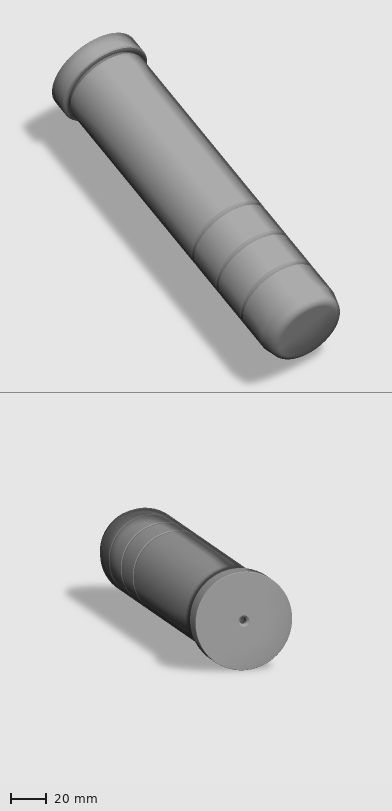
import cadquery as cq
import math

length = 220.0
head_diameter = 56.0
head_length = 12.0
head_chamfer = 0.7
head_face_chamfer = 0.2
shaft_diameter = 50.0

neck_depth = 0.7
neck_end = 13.5
shaft_start = neck_end + neck_depth

groove_count = 3
first_groove_x = 140.0
groove_pitch = 25.0
groove_width = 2.9
groove_depth = 0.7

taper_start = 209.7
taper_angle = math.radians(15)
nose_radius = 4.2

drill_point_angle = math.radians(118)
centre_mouth_diameter = 6.4
centre_diameter = 3.7
centre_countersink_depth = 1.3
centre_depth = 6.5

head_radius = head_diameter / 2
shaft_radius = shaft_diameter / 2
neck_radius = shaft_radius - neck_depth


def make_body():
    """Revolve the half outline of head, neck, shaft and rounded taper."""
    nose_centre_x = length - nose_radius
    taper_end_x = nose_centre_x + nose_radius * math.sin(taper_angle)
    taper_end_radius = shaft_radius - (taper_end_x - taper_start) * math.tan(taper_angle)
    nose_centre_radius = taper_end_radius - nose_radius * math.cos(taper_angle)
    middle_angle = (math.pi / 2 - taper_angle) / 2
    nose_middle = (
        nose_centre_x + nose_radius * math.cos(middle_angle),
        nose_centre_radius + nose_radius * math.sin(middle_angle),
    )
    outline = (
        cq.Workplane("XY")
        .lineTo(0, head_radius - head_face_chamfer)
        .lineTo(head_face_chamfer, head_radius)
        .lineTo(head_length - head_chamfer, head_radius)
        .lineTo(head_length, head_radius - head_chamfer)
        .lineTo(head_length, neck_radius)
        .lineTo(neck_end, neck_radius)
        .lineTo(shaft_start, shaft_radius)
        .lineTo(taper_start, shaft_radius)
        .lineTo(taper_end_x, taper_end_radius)
        .threePointArc(nose_middle, (length, nose_centre_radius))
        .lineTo(length, 0)
        .close()
    )
    return outline.revolve(360, (0, 0, 0), (1, 0, 0))


def make_groove(centre_x):
    """Ring of circular-arc section that cuts one oil groove."""
    half_width = groove_width / 2
    section = (
        cq.Workplane("XY")
        .moveTo(centre_x - half_width, shaft_radius)
        .threePointArc(
            (centre_x, shaft_radius - groove_depth),
            (centre_x + half_width, shaft_radius),
        )
        .close()
    )
    return section.revolve(360, (0, 0, 0), (1, 0, 0))


def make_centre_hole():
    """Countersunk blind hole with a drill point, running from X = 0 along +X."""
    radius = centre_diameter / 2
    point_length = radius / math.tan(drill_point_angle / 2)
    section = (
        cq.Workplane("XY")
        .lineTo(0, centre_mouth_diameter / 2)
        .lineTo(centre_countersink_depth, radius)
        .lineTo(centre_depth, radius)
        .lineTo(centre_depth + point_length, 0)
        .close()
    )
    return section.revolve(360, (0, 0, 0), (1, 0, 0))


result = make_body()

for index in range(groove_count):
    result = result.cut(make_groove(first_groove_x + index * groove_pitch))

result = result.cut(make_centre_hole())